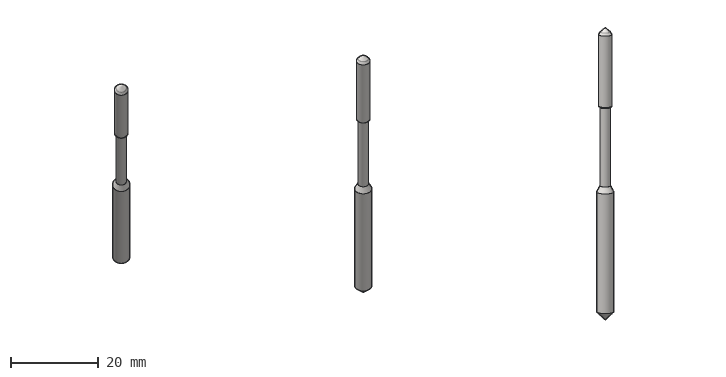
import cadquery as cq

TOTAL_LENGTH = 68.5

BARREL_RADIUS = 2.0
BARREL_POINT_HEIGHT = BARREL_RADIUS
BARREL_SHOULDER_Z = 30.0
BARREL_TOP_Z = 31.45
BARREL_TOP_RADIUS = 1.2

NECK_RADIUS = BARREL_TOP_RADIUS
HEAD_RADIUS = 1.6
HEAD_BOTTOM_Z = 50.15
HEAD_CHAMFER = HEAD_RADIUS - NECK_RADIUS
HEAD_TOP_Z = 66.85
TIP_BASE_RADIUS = 1.15
TIP_BASE_Z = TOTAL_LENGTH - 1.0


def revolve_profile(points):
    """Revolve a profile of (radius, height) points about the Z axis."""
    return cq.Workplane("XZ").polyline(points).close().revolve(360, (0, 0, 0), (0, 1, 0))


def make_barrel():
    """Cylinder with a pointed lower end and a conical upper shoulder."""
    return revolve_profile([
        (0, 0),
        (BARREL_RADIUS, BARREL_POINT_HEIGHT),
        (BARREL_RADIUS, BARREL_SHOULDER_Z),
        (BARREL_TOP_RADIUS, BARREL_TOP_Z),
        (0, BARREL_TOP_Z),
    ])


def make_plunger():
    """Slim neck resting on the barrel, carrying a thicker head with a pointed tip."""
    return revolve_profile([
        (0, BARREL_TOP_Z),
        (NECK_RADIUS, BARREL_TOP_Z),
        (NECK_RADIUS, HEAD_BOTTOM_Z - HEAD_CHAMFER),
        (HEAD_RADIUS, HEAD_BOTTOM_Z),
        (HEAD_RADIUS, HEAD_TOP_Z),
        (TIP_BASE_RADIUS, TIP_BASE_Z),
        (0, TOTAL_LENGTH),
    ])


barrel = make_barrel()
plunger = make_plunger()

result = cq.Compound.makeCompound([barrel.val(), plunger.val()])